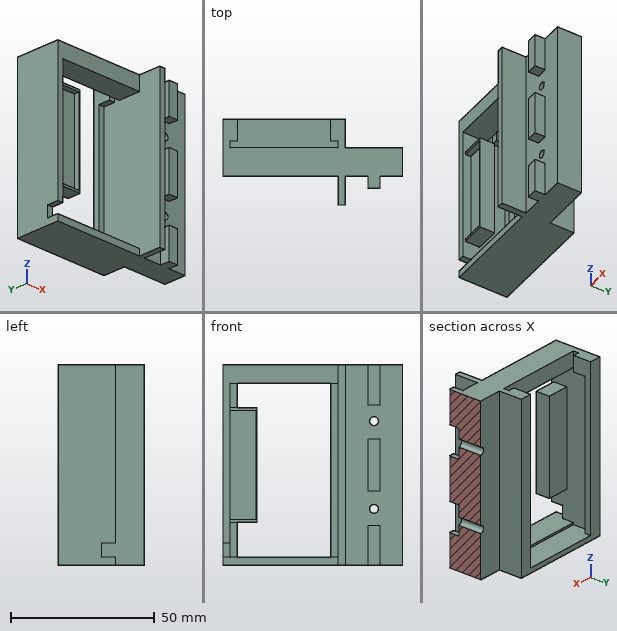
import cadquery as cq

height = 70.0
side_wall = 2.5
slot_width = 37.7
frame_width = slot_width + 2 * side_wall
flange_width = 20.0
plate_depth = 10.0
fin_depth = 10.0
rear_depth = 10.0

plate_front = fin_depth
plate_rear = plate_front + plate_depth
rear = plate_rear + rear_depth

slot_left = side_wall
slot_right = slot_left + slot_width

floor_thickness = 2.9
top_bar = 6.5
window_top = height - top_bar

slot_depth = 2.3
lip_overhang = 2.6

cavity_depth = 7.5
cavity_floor = 2.1

notch_height = 5.0
notch_depth = 5.0

tray_width = 9.5
tray_setback = 1.0
tray_bottom = 15.0
tray_height = 40.0
tray_front = plate_front + tray_setback
tray_depth = 6.0
tray_pocket_depth = 2.3
tray_rim = 1.0
tray_side_rim = 0.5

rail_x = frame_width + flange_width / 2
rail_width = 4.2
rail_depth = 4.2
end_rail_length = 14.0
middle_rail_length = 18.0
hole_diameter = 3.0
hole_spacing = 30.6


def block(x, y, z):
    """Box spanning the given (low, high) range on each axis."""
    size = (x[1] - x[0], y[1] - y[0], z[1] - z[0])
    return cq.Workplane("XY").box(*size, centered=False).translate((x[0], y[0], z[0]))


def frame():
    """Frame with its window, rear slot, rear cavity and left-wall notch."""
    body = block((0, frame_width), (plate_front, rear), (0, height))
    window = block((slot_left, slot_right), (plate_front, plate_rear), (floor_thickness, window_top))
    panel_slot = block(
        (slot_left, slot_right), (plate_rear, plate_rear + slot_depth), (cavity_floor, height)
    )
    cavity = block(
        (slot_left, slot_right), (plate_rear, plate_rear + cavity_depth), (cavity_floor, window_top)
    )
    rear_opening = block(
        (slot_left + lip_overhang, slot_right - lip_overhang),
        (plate_rear + slot_depth, rear),
        (cavity_floor, height),
    )
    notch = block(
        (0, side_wall),
        (plate_front, plate_front + notch_depth),
        (floor_thickness, floor_thickness + notch_height),
    )
    return body.cut(window).cut(panel_slot).cut(cavity).cut(rear_opening).cut(notch)


def fin():
    """Full-height fin standing forward from the right wall."""
    return block((slot_right, frame_width), (0, plate_front), (0, height))


def tray():
    """Shallow tray, open to the front, attached to the left wall."""
    right = slot_left + tray_width
    top = tray_bottom + tray_height
    body = block((slot_left, right), (tray_front, tray_front + tray_depth), (tray_bottom, top))
    pocket = block(
        (slot_left, right - tray_side_rim),
        (tray_front, tray_front + tray_pocket_depth),
        (tray_bottom + tray_rim, top - tray_rim),
    )
    return body.cut(pocket)


def flange():
    """Mounting flange with three rail segments and two through holes."""
    body = block(
        (frame_width, frame_width + flange_width), (plate_front, plate_rear), (0, height)
    )
    middle = height / 2
    rail_spans = [
        (0, end_rail_length),
        (middle - middle_rail_length / 2, middle + middle_rail_length / 2),
        (height - end_rail_length, height),
    ]
    for span in rail_spans:
        rail = block(
            (rail_x - rail_width / 2, rail_x + rail_width / 2),
            (plate_front - rail_depth, plate_front),
            span,
        )
        body = body.union(rail)
    for side in (-1, 1):
        hole = (
            cq.Workplane("XZ", origin=(rail_x, plate_rear, middle + side * hole_spacing / 2))
            .circle(hole_diameter / 2)
            .extrude(plate_depth)
        )
        body = body.cut(hole)
    return body


result = frame().union(fin()).union(tray()).union(flange())